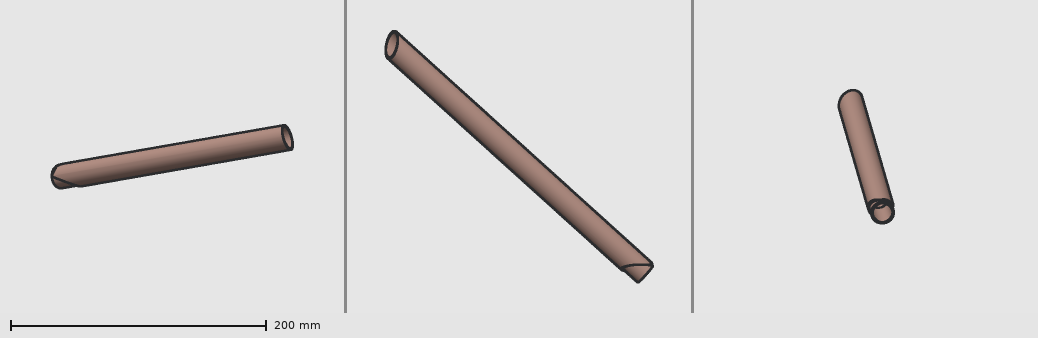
import cadquery as cq
import math

AZIMUTH = 30.5
ELEVATION = 40.1
AXIS_OFFSET_Y = 1.5

TUBE_RADIUS = 10.0
TUBE_WALL = 1.2
SLEEVE_WALL = 1.2
SLEEVE_START = -136.4
SLEEVE_LENGTH = 34.8
STOCK_END = 147.0

TOP_STATION = 132.1
TOP_TILT = 31.8
TOP_CLIMB = 160.0
FRONT_COPE_STATION = -138.9
FRONT_COPE_TILT = 68.3
FRONT_COPE_CLIMB = 217.0
REAR_COPE_STATION = -129.4
REAR_COPE_TILT = 46.7
REAR_COPE_CLIMB = -35.0
UPPER_COPE_STATION = -148.2
UPPER_COPE_TILT = 56.8
UPPER_COPE_CLIMB = 103.0

CUTTER_SIZE = 193.5

SLEEVE_RADIUS = TUBE_RADIUS - TUBE_WALL
SLEEVE_BORE = SLEEVE_RADIUS - SLEEVE_WALL


def axis_plane():
    """Plane with its normal along the tube axis and its Y toward the upper side."""
    azimuth = math.radians(AZIMUTH)
    elevation = math.radians(ELEVATION)
    normal = (
        math.cos(elevation) * math.cos(azimuth),
        math.cos(elevation) * math.sin(azimuth),
        math.sin(elevation),
    )
    level_direction = (-math.sin(azimuth), math.cos(azimuth), 0)
    return cq.Plane((0, AXIS_OFFSET_Y, 0), level_direction, normal)


def pipe(outer_radius, inner_radius, start, length):
    """Straight pipe along Z."""
    return cq.Workplane("XY", (0, 0, start)).circle(outer_radius).circle(inner_radius).extrude(length)


def cutter(station, tilt, climb, depth):
    """Block bounded by an oblique plane; positive depth lies above it, negative below."""
    slope = math.radians(tilt)
    heading = math.radians(climb)
    normal = (
        -math.sin(slope) * math.cos(heading),
        -math.sin(slope) * math.sin(heading),
        math.cos(slope),
    )
    sideways = (-math.sin(heading), math.cos(heading), 0)
    plane = cq.Plane((0, 0, station), sideways, normal)
    return cq.Workplane(plane).rect(CUTTER_SIZE, CUTTER_SIZE).extrude(depth)


def make_tube():
    """Main tube, mitred at the top and coped by three planes at the bottom."""
    tube = pipe(TUBE_RADIUS, SLEEVE_RADIUS, -STOCK_END, 2 * STOCK_END)
    tube = tube.cut(cutter(TOP_STATION, TOP_TILT, TOP_CLIMB, CUTTER_SIZE))
    tube = tube.cut(cutter(FRONT_COPE_STATION, FRONT_COPE_TILT, FRONT_COPE_CLIMB, -CUTTER_SIZE))
    tube = tube.cut(cutter(UPPER_COPE_STATION, UPPER_COPE_TILT, UPPER_COPE_CLIMB, -CUTTER_SIZE))
    return tube.cut(cutter(REAR_COPE_STATION, REAR_COPE_TILT, REAR_COPE_CLIMB, -CUTTER_SIZE))


def make_sleeve():
    """Square-ended sleeve that fills the tube bore and projects past the coped end."""
    return pipe(SLEEVE_RADIUS, SLEEVE_BORE, SLEEVE_START, SLEEVE_LENGTH)


placement = cq.Location(axis_plane())
tube = make_tube().val().moved(placement)
sleeve = make_sleeve().val().moved(placement)

result = cq.Compound.makeCompound([tube, sleeve])